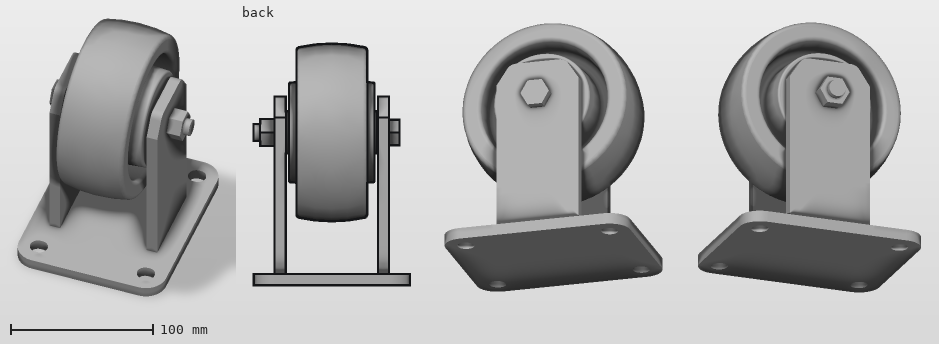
import cadquery as cq
import math


base_x = 110.0
base_y = 135.0
base_thickness = 8.0
base_corner_radius = 15.0
slot_pitch_x = 80.0
slot_pitch_y = 105.0
slot_length = 13.0
slot_width = 11.5

leg_gap = 64.6
leg_thickness = 8.0
leg_width = 60.0
leg_top = 132.8
leg_bevel_y = 10.0
leg_bevel_z = 15.0
leg_bevel_fillet = 8.0

total_height = 170.0
wheel_radius = 62.5
tread_width = 50.0
crown_drop = 3.0
tread_edge_fillet = 3.0

rim_mouth_radius = 46.4
rim_floor_radius = 44.5
hub_floor_radius = 36.9
rim_mouth_fillet = 2.9
recess_floor_fillet = 3.0
web_thickness = 10.0

hub_width = 60.2
hub_radius = 35.0
hub_edge_fillet = 1.5
spacer_diameter = 30.0
spacer_chamfer = 0.6

bolt_diameter = 12.0
head_across_flats = 18.0
head_height = 7.3
nut_across_flats = 19.0
nut_height = 10.0
bolt_end_length = 4.8

axle_height = total_height - wheel_radius
leg_outer_x = leg_gap / 2 + leg_thickness


def x_plane(x):
    """Plane normal to X whose origin lies on the axle; its local axes follow Y and Z."""
    return cq.Plane(origin=(x, 0, axle_height), xDir=(0, 1, 0), normal=(1, 0, 0))


def make_base():
    plate = cq.Workplane("XY").box(base_x, base_y, base_thickness, centered=(True, True, False))
    plate = plate.edges("|Z").fillet(base_corner_radius)
    slots = (
        cq.Workplane("XY")
        .rarray(slot_pitch_x, slot_pitch_y, 2, 2)
        .slot2D(slot_length, slot_width)
        .extrude(base_thickness)
    )
    return plate.cut(slots)


def make_leg(inner_x):
    """Upright plate with bevelled, rounded top corners, starting at inner_x and growing toward +X."""
    half_width = leg_width / 2
    top = leg_top - axle_height
    bottom = base_thickness - axle_height
    top_half_width = half_width - leg_bevel_y
    outline = [
        (-half_width, bottom),
        (half_width, bottom),
        (half_width, top - leg_bevel_z),
        (top_half_width, top),
        (-top_half_width, top),
        (-half_width, top - leg_bevel_z),
    ]
    leg = cq.Workplane(x_plane(inner_x)).polyline(outline).close().extrude(leg_thickness)
    return leg.faces(">Z").edges("|X").fillet(leg_bevel_fillet)


def revolve_about_axle(profile):
    """Revolve a closed profile, drawn as (x, radius) on the axle, around the axle line."""
    return profile.revolve(360, (0, 0, 0), (1, 0, 0))


def axle_section():
    return cq.Workplane("XZ", origin=(0, 0, axle_height))


def make_wheel():
    half_tread = tread_width / 2
    half_hub = hub_width / 2
    half_web = web_thickness / 2
    shoulder_radius = wheel_radius - crown_drop

    wheel = revolve_about_axle(
        axle_section()
        .moveTo(-half_tread, 0)
        .lineTo(-half_tread, shoulder_radius)
        .threePointArc((0, wheel_radius), (half_tread, shoulder_radius))
        .lineTo(half_tread, 0)
        .close()
    )
    wheel = wheel.faces("<X or >X").edges().fillet(tread_edge_fillet)

    for side in (-1, 1):
        recess = revolve_about_axle(
            axle_section()
            .moveTo(side * half_tread, 0)
            .lineTo(side * half_tread, rim_mouth_radius)
            .lineTo(side * half_web, rim_floor_radius)
            .lineTo(side * half_web, 0)
            .close()
        )
        wheel = wheel.cut(recess)
    smallest_circles = cq.selectors.RadiusNthSelector(0)
    wheel = wheel.faces("<X or >X").edges(smallest_circles).fillet(rim_mouth_fillet)

    hub = revolve_about_axle(
        axle_section()
        .moveTo(-half_hub, 0)
        .lineTo(-half_hub, hub_radius)
        .lineTo(-half_web, hub_floor_radius)
        .lineTo(half_web, hub_floor_radius)
        .lineTo(half_hub, hub_radius)
        .lineTo(half_hub, 0)
        .close()
    )
    hub = hub.faces("<X or >X").edges().fillet(hub_edge_fillet)
    wheel = wheel.union(hub)

    reach = web_thickness
    floor_circles = cq.selectors.BoxSelector(
        (-reach, -reach, axle_height - reach),
        (reach, reach, axle_height + reach),
    )
    return wheel.edges("%CIRCLE").edges(floor_circles).fillet(recess_floor_fillet)


def make_spacers():
    """Bearing spacers filling the space between hub and legs, chamfered next to the legs."""
    spacers = cq.Workplane(x_plane(-leg_gap / 2)).circle(spacer_diameter / 2).extrude(leg_gap)
    return spacers.faces("<X or >X").chamfer(spacer_chamfer)


def make_hexagon(start_x, across_flats, height):
    """Hexagonal prism along X with two corners pointing along Y."""
    across_corners = across_flats / math.cos(math.pi / 6)
    return cq.Workplane(x_plane(start_x)).polygon(6, across_corners).extrude(height)


def make_bolt():
    head = make_hexagon(-leg_outer_x - head_height, head_across_flats, head_height)
    nut = make_hexagon(leg_outer_x, nut_across_flats, nut_height)
    shank_length = 2 * leg_outer_x + nut_height + bolt_end_length
    shank = cq.Workplane(x_plane(-leg_outer_x)).circle(bolt_diameter / 2).extrude(shank_length)
    return head.union(nut).union(shank)


result = (
    make_base()
    .union(make_leg(-leg_outer_x))
    .union(make_leg(leg_gap / 2))
    .union(make_wheel())
    .union(make_spacers())
    .union(make_bolt())
)